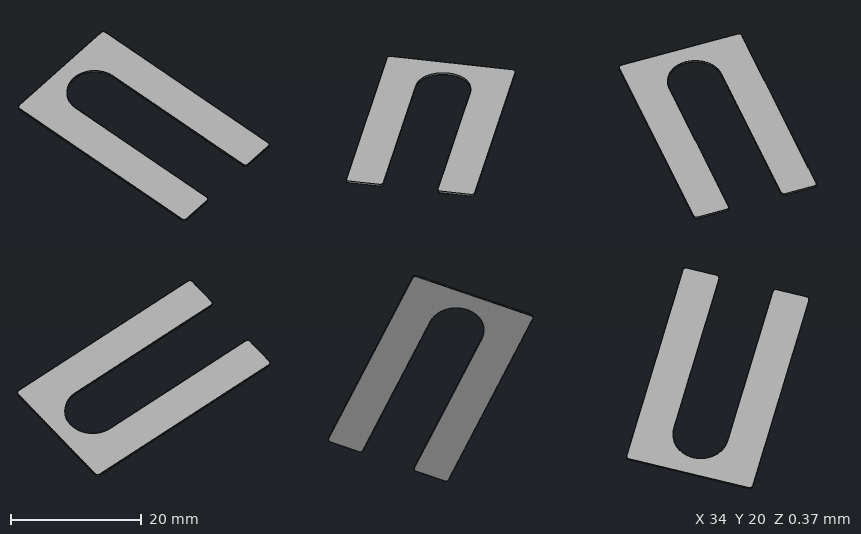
import cadquery as cq

length = 34.0
width = 20.0
thickness = 0.37
corner_radius = 0.5
slot_width = 8.5
web = 2.8

slot_radius = slot_width / 2
slot_end_x = -length / 2 + web
slot_center_x = slot_end_x + slot_radius
open_x = length / 2


def make_plate():
    """Outline with the slot already in it, centred on the origin."""
    return (
        cq.Workplane("XY", origin=(0, 0, -thickness / 2))
        .moveTo(-length / 2, -width / 2)
        .lineTo(open_x, -width / 2)
        .lineTo(open_x, -slot_radius)
        .lineTo(slot_center_x, -slot_radius)
        .threePointArc((slot_end_x, 0), (slot_center_x, slot_radius))
        .lineTo(open_x, slot_radius)
        .lineTo(open_x, width / 2)
        .lineTo(-length / 2, width / 2)
        .close()
        .extrude(thickness)
    )


def round_corners(plate):
    """Round the outer corners and the corners at the slot mouth."""
    corners = plate.edges("|Z and (<X or >X)")
    return corners.fillet(corner_radius)


result = round_corners(make_plate())